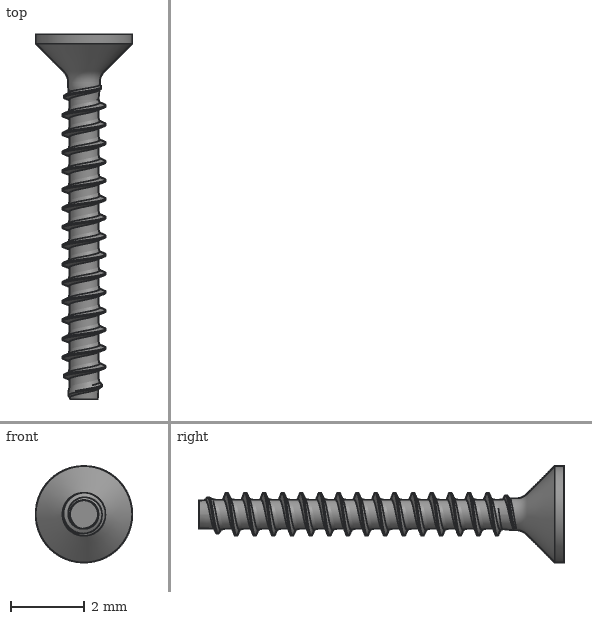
import cadquery as cq
import math

length = 10.0
head_radius = 1.325
rim_thickness = 0.26
cone_half_angle = math.radians(45)
shank_radius = 0.44
neck_fillet = 0.39
shank_end = 1.43
core_radius = 0.4
taper_end = 1.8
tip_radius = 0.38
tip_taper_length = 0.3

crest_radius = 0.59
crest_width = 0.04
tip_flank_width = 0.08
foot_radius = 0.43
foot_offset = 0.09
foot_reach = 0.2
burial = 0.04
root_radius = core_radius - burial
pitch = 0.51
turns = 17
lead_in_turns = 1.0
run_out_turns = 1.5
start_angle = math.radians(-90)
thread_start = length - turns * pitch
segments_per_turn = 2
points_per_segment = 12


def make_body():
    """Revolved head, filleted neck, shank, core and tapered tip."""
    cone_end = rim_thickness + (head_radius - shank_radius) / math.tan(cone_half_angle)
    tangent_length = neck_fillet * math.tan(cone_half_angle / 2)
    fillet_start = (
        shank_radius + tangent_length * math.sin(cone_half_angle),
        -(cone_end - tangent_length * math.cos(cone_half_angle)),
    )
    fillet_end = (shank_radius, -(cone_end + tangent_length))
    half_angle = cone_half_angle / 2
    fillet_middle = (
        shank_radius + neck_fillet * (1 - math.cos(half_angle)),
        fillet_end[1] + neck_fillet * math.sin(half_angle),
    )
    return (
        cq.Workplane("XY")
        .lineTo(head_radius, 0)
        .lineTo(head_radius, -rim_thickness)
        .lineTo(*fillet_start)
        .threePointArc(fillet_middle, fillet_end)
        .lineTo(shank_radius, -shank_end)
        .lineTo(core_radius, -taper_end)
        .lineTo(core_radius, -(length - tip_taper_length))
        .lineTo(tip_radius, -length)
        .lineTo(0, -length)
        .close()
        .revolve(360, (0, 0, 0), (0, 1, 0))
    )


def crest_radius_at(turn):
    """Crest radius: ramps up from the shank, stays level, then ramps down to the core."""
    rising = shank_radius + (crest_radius - shank_radius) * turn / lead_in_turns
    falling = core_radius + (crest_radius - core_radius) * (turns - turn) / run_out_turns
    return min(rising, crest_radius, falling)


def foot_radius_at(turn):
    """Foot radius, never above the crest where the ridge fades."""
    return min(foot_radius, crest_radius_at(turn))


def root_radius_at(turn):
    """Constant radius of the buried profile corners."""
    return root_radius


def helix_edge(radius_at, axial_offset, first_turn):
    """Helical spline along one corner of the thread profile, one segment long."""
    points = []
    for step in range(points_per_segment + 1):
        turn = first_turn + step / (points_per_segment * segments_per_turn)
        angle = start_angle + 2 * math.pi * turn
        radius = radius_at(turn)
        depth = thread_start + pitch * turn + axial_offset
        points.append(cq.Vector(radius * math.cos(angle), -depth, radius * math.sin(angle)))
    return cq.Edge.makeSpline(points)


def make_segment(first_turn):
    """Closed length of thread with ruled faces between the corner helices."""
    foot_slope = (foot_reach - foot_offset) / (foot_radius - core_radius)
    head_root_offset = foot_reach + burial * foot_slope
    profile = [
        (root_radius_at, -head_root_offset),
        (foot_radius_at, -foot_offset),
        (crest_radius_at, -crest_width / 2),
        (crest_radius_at, crest_width / 2),
        (root_radius_at, crest_width / 2 + tip_flank_width),
    ]
    corners = [helix_edge(radius_at, offset, first_turn) for radius_at, offset in profile]
    next_corners = corners[1:] + corners[:1]
    faces = [cq.Face.makeRuledSurface(a, b) for a, b in zip(corners, next_corners)]
    for end in (0, 1):
        cap_points = [corner.positionAt(end) for corner in corners]
        faces.append(cq.Face.makeFromWires(cq.Wire.makePolygon(cap_points, close=True)))
    return cq.Solid.makeSolid(cq.Shell.makeShell(faces))


def make_tip_trim():
    """Block beyond the tip that cuts the last of the thread flush with the end face."""
    side = 4 * crest_radius
    depth = 2 * pitch
    return cq.Workplane("XY").box(side, depth, side).translate((0, -length - depth / 2, 0))


segment_count = turns * segments_per_turn
segments = [make_segment(index / segments_per_turn) for index in range(segment_count)]
screw = make_body().val().fuse(*segments)
result = cq.Workplane(screw).cut(make_tip_trim()).solids()